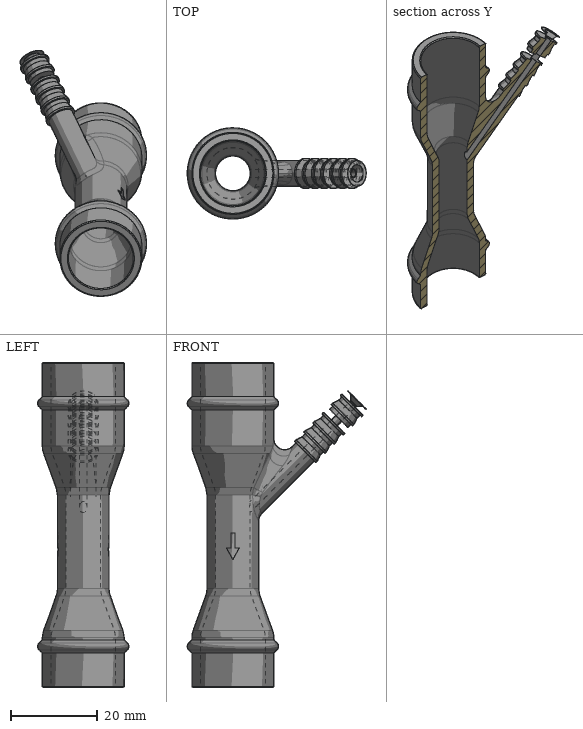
import cadquery as cq
import math

TUBE_LENGTH = 75.23
SOCKET_RADIUS = 19.0 / 2
NECK_RADIUS = 12.0 / 2
SOCKET_BORE_RADIUS = 15.0 / 2
NECK_BORE_RADIUS = 8.0 / 2
TAPER_ANGLE = 20.0
TAPER_BLEND_RADIUS = 5.0
LOWER_TAPER_BASE = 12.4
UPPER_TAPER_TOP = 55.0
RIM_CHAMFER = 0.25

BEAD_RADIUS = 1.1
BEAD_OUTER_RADIUS = 21.16 / 2
BEAD_FROM_END = 9.5
BEAD_OVERLAP = 0.1

BRANCH_ANGLE = 45.0
BRANCH_BASE_HEIGHT = 37.75
BRANCH_TIP_X = 28.75
BRANCH_RADIUS = 6.0 / 2
BRANCH_BLEND_RADIUS = 2.5
BRANCH_LENGTH = BRANCH_TIP_X / math.cos(math.radians(BRANCH_ANGLE))

BARB_RADIUS = 7.0 / 2
BARB_COUNT = 6
BARB_PITCH = 3.0
BARB_LAND = 0.5
BARB_TAPER = 1.5
OPEN_BARBS = (3, 5)

LINK_RADIUS = 2.0 / 2
BRANCH_BORE_RADIUS = 1.8 / 2
FUNNEL_RADIUS = 4.0 / 2
THIN_WALL = 0.1

ARROW_TOP = 35.7
ARROW_LENGTH = 6.1
ARROW_HEAD_LENGTH = 2.7
ARROW_HEAD_WIDTH = 3.0
ARROW_SHAFT_WIDTH = 0.9
ARROW_DEPTH = 0.1

TAPER_HEIGHT = (SOCKET_RADIUS - NECK_RADIUS) / math.tan(math.radians(TAPER_ANGLE))
BRANCH_PLANE = cq.Plane(
    origin=(0, 0, BRANCH_BASE_HEIGHT),
    xDir=(0, 1, 0),
    normal=(math.cos(math.radians(BRANCH_ANGLE)), 0, math.sin(math.radians(BRANCH_ANGLE))),
)


def tapered_column(socket_radius, neck_radius):
    """Solid of revolution with two wide ends joined to a narrow neck by blended cones."""
    column = (
        cq.Workplane("XZ")
        .moveTo(0, 0)
        .lineTo(socket_radius, 0)
        .lineTo(socket_radius, LOWER_TAPER_BASE)
        .lineTo(neck_radius, LOWER_TAPER_BASE + TAPER_HEIGHT)
        .lineTo(neck_radius, UPPER_TAPER_TOP - TAPER_HEIGHT)
        .lineTo(socket_radius, UPPER_TAPER_TOP)
        .lineTo(socket_radius, TUBE_LENGTH)
        .lineTo(0, TUBE_LENGTH)
        .close()
        .revolve(360, (0, 0, 0), (0, 1, 0))
    )
    inside_ends = cq.selectors.BoxSelector(
        (-SOCKET_RADIUS, -SOCKET_RADIUS, RIM_CHAMFER),
        (SOCKET_RADIUS, SOCKET_RADIUS, TUBE_LENGTH - RIM_CHAMFER),
    )
    return column.edges("%CIRCLE").edges(inside_ends).fillet(TAPER_BLEND_RADIUS)


def stop_bead(height):
    """Ring with a round crest and 45 degree flanks tangent to it."""
    crest_centre = BEAD_OUTER_RADIUS - BEAD_RADIUS
    tangent_offset = BEAD_RADIUS / math.sqrt(2)
    root_radius = SOCKET_RADIUS - BEAD_OVERLAP
    root_offset = crest_centre + 2 * tangent_offset - root_radius
    return (
        cq.Workplane("XZ")
        .moveTo(root_radius, height - root_offset)
        .lineTo(crest_centre + tangent_offset, height - tangent_offset)
        .threePointArc(
            (BEAD_OUTER_RADIUS, height),
            (crest_centre + tangent_offset, height + tangent_offset),
        )
        .lineTo(root_radius, height + root_offset)
        .close()
        .revolve(360, (0, 0, 0), (0, 1, 0))
    )


def branch_disc(start, length, radius):
    """Cylinder on the branch axis, beginning at a distance from the tube axis."""
    return cq.Workplane(BRANCH_PLANE).workplane(offset=start).circle(radius).extrude(length)


def branch_cone(start, length, start_radius, end_radius):
    """Cone frustum on the branch axis."""
    cone = cq.Solid.makeCone(
        start_radius,
        end_radius,
        length,
        pnt=BRANCH_PLANE.toWorldCoords((0, 0, start)),
        dir=BRANCH_PLANE.zDir,
    )
    return cq.Workplane(cone)


def barbed_end(root):
    """Barbs from the root to the tip; each is a land, a taper and a plain length."""
    end = branch_disc(root, BRANCH_LENGTH - root, LINK_RADIUS)
    plain_length = BARB_PITCH - BARB_LAND - BARB_TAPER
    for index in range(BARB_COUNT):
        land_start = root + index * BARB_PITCH
        taper_start = land_start + BARB_LAND
        plain_start = taper_start + BARB_TAPER
        end = end.union(branch_disc(land_start, BARB_LAND, BARB_RADIUS))
        if index not in OPEN_BARBS:
            end = end.union(branch_cone(taper_start, BARB_TAPER, BARB_RADIUS, BRANCH_RADIUS))
        if index < BARB_COUNT - 1:
            end = end.union(branch_disc(plain_start, plain_length, BRANCH_RADIUS))
    return end


def tip_flange(funnel_depth):
    """Thin flange at the branch tip, carried by a thin conical funnel."""
    flange = branch_disc(BRANCH_LENGTH - THIN_WALL, THIN_WALL, BRANCH_RADIUS)
    funnel = branch_cone(
        BRANCH_LENGTH - funnel_depth - THIN_WALL,
        funnel_depth + THIN_WALL,
        LINK_RADIUS,
        FUNNEL_RADIUS + THIN_WALL,
    )
    return flange.union(funnel)


def bore_chamfer(rim_height, inward):
    """Cone that bevels the bore mouth; inward is the sense along Z into the tube."""
    cone = cq.Solid.makeCone(
        SOCKET_BORE_RADIUS + RIM_CHAMFER,
        SOCKET_BORE_RADIUS,
        RIM_CHAMFER,
        pnt=cq.Vector(0, 0, rim_height),
        dir=cq.Vector(0, 0, inward),
    )
    return cq.Workplane(cone)


def flow_arrows():
    """Arrows pointing down, to engrave on the front and back of the neck."""
    head_base = ARROW_TOP - ARROW_LENGTH + ARROW_HEAD_LENGTH
    outline = (
        cq.Workplane("XZ")
        .moveTo(-ARROW_SHAFT_WIDTH / 2, ARROW_TOP)
        .lineTo(-ARROW_SHAFT_WIDTH / 2, head_base)
        .lineTo(-ARROW_HEAD_WIDTH / 2, head_base)
        .lineTo(0, ARROW_TOP - ARROW_LENGTH)
        .lineTo(ARROW_HEAD_WIDTH / 2, head_base)
        .lineTo(ARROW_SHAFT_WIDTH / 2, head_base)
        .lineTo(ARROW_SHAFT_WIDTH / 2, ARROW_TOP)
        .close()
        .extrude(NECK_RADIUS, both=True)
    )
    skin = (
        cq.Workplane("XY", origin=(0, 0, ARROW_TOP - ARROW_LENGTH))
        .circle(NECK_RADIUS)
        .circle(NECK_RADIUS - ARROW_DEPTH)
        .extrude(ARROW_LENGTH)
    )
    return outline.intersect(skin)


last_barb_length = BARB_LAND + BARB_TAPER
barb_root = BRANCH_LENGTH - (BARB_COUNT - 1) * BARB_PITCH - last_barb_length
body = tapered_column(SOCKET_RADIUS, NECK_RADIUS)
body = body.faces("<Z or >Z").edges().chamfer(RIM_CHAMFER)
for bead_height in (BEAD_FROM_END, TUBE_LENGTH - BEAD_FROM_END):
    body = body.union(stop_bead(bead_height))
body = body.union(branch_disc(0, barb_root, BRANCH_RADIUS))
junction = cq.selectors.BoxSelector(
    (NECK_RADIUS / 2, -BRANCH_RADIUS, BRANCH_BASE_HEIGHT),
    (SOCKET_RADIUS + BRANCH_RADIUS, BRANCH_RADIUS, UPPER_TAPER_TOP),
)
body = body.edges(junction).fillet(BRANCH_BLEND_RADIUS)

funnel_depth = FUNNEL_RADIUS - BRANCH_BORE_RADIUS
body = body.union(barbed_end(barb_root)).union(tip_flange(funnel_depth))
body = body.cut(flow_arrows())

main_bore = tapered_column(SOCKET_BORE_RADIUS, NECK_BORE_RADIUS)
branch_bore = branch_disc(0, BRANCH_LENGTH, BRANCH_BORE_RADIUS)
funnel_bore = branch_cone(
    BRANCH_LENGTH - funnel_depth, funnel_depth, BRANCH_BORE_RADIUS, FUNNEL_RADIUS
)
body = body.cut(main_bore).cut(branch_bore).cut(funnel_bore)
for rim_height, inward in ((0, 1), (TUBE_LENGTH, -1)):
    body = body.cut(bore_chamfer(rim_height, inward))

result = body